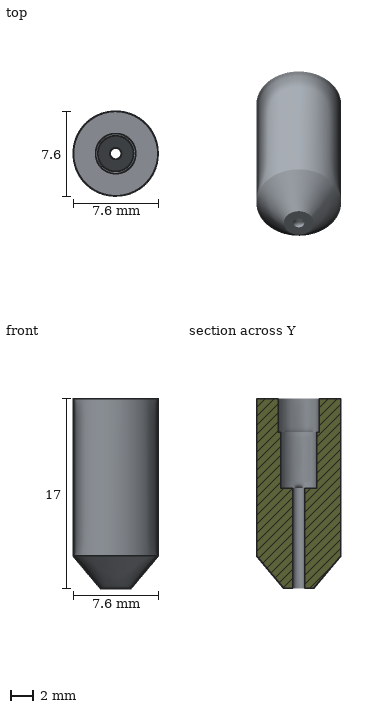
import math

import cadquery as cq

body_diameter = 7.6
total_length = 17.0
tip_diameter = 2.68
cone_half_angle = 40.0

entry_bore_diameter = 3.6
entry_bore_depth = 3.0
inner_bore_diameter = 3.2
inner_bore_length = 5.0
outlet_diameter = 1.0

body_radius = body_diameter / 2
tip_radius = tip_diameter / 2
cone_length = (body_radius - tip_radius) / math.tan(math.radians(cone_half_angle))
inner_bore_depth = entry_bore_depth + inner_bore_length


def make_body():
    """Solid cylinder that tapers to a flat tip at the bottom."""
    half_profile = (
        cq.Workplane("XZ")
        .lineTo(tip_radius, 0)
        .lineTo(body_radius, cone_length)
        .lineTo(body_radius, total_length)
        .lineTo(0, total_length)
        .close()
    )
    return half_profile.revolve(360, (0, 0), (0, 1))


def drill_from_top(part, diameter, depth):
    """Cut a flat-bottomed hole along the axis, down from the top face."""
    top_plane = cq.Workplane("XY").workplane(offset=total_length)
    drill = top_plane.circle(diameter / 2).extrude(-depth)
    return part.cut(drill)


result = make_body()
result = drill_from_top(result, entry_bore_diameter, entry_bore_depth)
result = drill_from_top(result, inner_bore_diameter, inner_bore_depth)
result = drill_from_top(result, outlet_diameter, total_length)